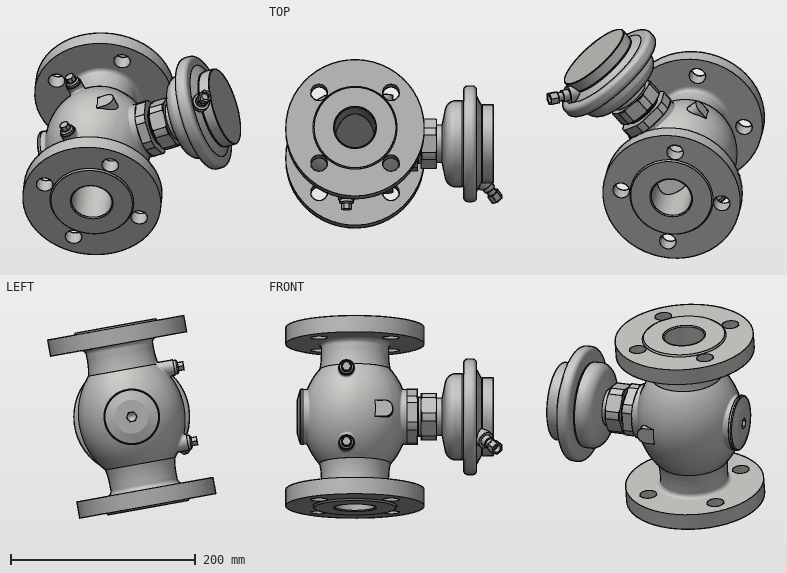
import cadquery as cq
import math

TILT = 10.22

FACE_TO_FACE = 200.0
RAISED_FACE_HEIGHT = 2.0
RAISED_FACE_TOP_RADIUS = 44.2
RAISED_FACE_ROOT_RADIUS = 45.5
FLANGE_RADIUS = 75.0
FLANGE_THICKNESS = 18.0
FLANGE_FILLET = 5.0
BOLT_CIRCLE_RADIUS = 55.0
BOLT_HOLE_DIAMETER = 18.0
BOLT_COUNT = 4
FIRST_BOLT_ANGLE = 45.0
PORT_RADIUS = 22.0
PORT_CHAMFER = 1.2

BARREL_RADIUS = 57.5
BARREL_ARC_RADIUS = 79.0
BARREL_HALF_HEIGHT = 51.6
NECK_RADIUS = 36.5
NECK_STRAIGHT_START = 67.2

PARTITION_HIGH_END = 60.0
PARTITION_LOW_END = 40.0

CROSS_BOSS_RADIUS = 29.7
CROSS_BOSS_FILLET = 1.5
COVER_FACE_X = -62.6
COVER_RIM_X = -59.4
COVER_SEAM_X = -56.0
COVER_FACE_RADIUS = 18.3
COVER_RIM_RADIUS = 29.0
COVER_RADIUS = 30.1
COVER_SOCKET_FLATS = 10.0
COVER_SOCKET_DEPTH = 5.0
COVER_DRILL_POINT_ANGLE = 120.0
BONNET_HEX_START_X = 56.4
BONNET_HEX_END_X = 67.4
BONNET_HEX_FLATS = 56.0
BONNET_HEX_TURN = 30.0
BONNET_HEX_TURNED_RADIUS = 30.0
STUB_RADIUS = 21.2
STUB_GROOVE_RADIUS = 20.0
STUB_GROOVE_END_X = 68.6
BODY_JOINT_X = 71.4

TAPPING_X = -9.2
UPPER_TAPPING_HEIGHT = 44.5
LOWER_TAPPING_HEIGHT = -38.0
TAPPING_START_Y = 30.0
TAPPING_BOSS_RADIUS = 8.5
TAPPING_BOSS_END_Y = 54.5
TAPPING_COLLAR_RADIUS = 7.5
TAPPING_COLLAR_END_Y = 57.5
TAPPING_CONE_TOP_RADIUS = 5.5
TAPPING_CONE_END_Y = 59.0
TAPPING_HEX_FLATS = 9.0
TAPPING_HEX_END_Y = 65.0
UPPER_TAPPING_FILLET = 1.8
LOWER_TAPPING_FILLET = 2.8

ROOT_MARGIN = 0.4

PAD_FLAT_X = 21.7
PAD_WIDTH = 17.8
PAD_ROUND_END_X = 41.0
PAD_FACE_Y = 53.0
PAD_ROOT_Y = 30.0

NUT_END_X = 88.4
NUT_FLATS = 50.5
NUT_TURNED_RADIUS = 27.0
NUT_CHAMFER = 1.0

SPIGOT_RADIUS = 20.4
DOME_START_X = 94.2
DOME_SHOULDER_X = 97.6
DOME_SHOULDER_RADIUS = 37.0
DOME_RADIUS = 46.7
DOME_CROWN_X = 107.3
DOME_LIP_X = 115.8
DOME_LIP_DROP = 0.8
RIM_START_X = 117.4
RIM_END_X = 131.7
RIM_RADIUS = 62.8
RIM_ROUNDING = 5.0
BACK_CONE_RADIUS = 51.4
BACK_CONE_END_X = 136.6
BACK_GROOVE_RADIUS = 42.0
BACK_GROOVE_END_X = 138.0
CAP_RADIUS = 42.4
CAP_END_X = 150.0
CAP_CHAMFER = 0.6

FITTING_ROLL = 30.0
FITTING_LEAN = 57.0
FITTING_TIP_X = 153.8
FITTING_TIP_RADIUS = 69.3
FITTING_NUT_FLATS = 12.0
FITTING_NUT_LENGTH = 9.3
FITTING_HOLE_RADIUS = 4.2
FITTING_HOLE_DEPTH = 6.0
FITTING_STEM_RADIUS = 4.8
FITTING_STEM_LENGTH = 6.0
FITTING_COLLAR_RADIUS = 6.3
FITTING_COLLAR_LENGTH = 7.0
FITTING_BASE_RADIUS = 9.2
FITTING_BASE_LENGTH = 14.0


HEX_SIDES = 6


def hexagon_circumdiameter(flats):
    return flats / math.cos(math.pi / HEX_SIDES)


def rod_x(start_x, end_x, radius):
    """Round bar along X."""
    return cq.Workplane("YZ").workplane(offset=start_x).circle(radius).extrude(end_x - start_x)


def hex_bar_x(start_x, end_x, flats):
    """Hexagonal bar along X with two corners pointing along +Y and -Y."""
    return (
        cq.Workplane("YZ").workplane(offset=start_x)
        .polygon(HEX_SIDES, hexagon_circumdiameter(flats)).extrude(end_x - start_x)
    )


FLANGE_FACE_Z = FACE_TO_FACE / 2 - RAISED_FACE_HEIGHT
FLANGE_BACK_Z = FLANGE_FACE_Z - FLANGE_THICKNESS
BARREL_ARC_CENTRE = BARREL_RADIUS - BARREL_ARC_RADIUS


def barrel_radius_at(z):
    return BARREL_ARC_CENTRE + math.sqrt(BARREL_ARC_RADIUS ** 2 - z ** 2)


def barrel():
    """Barrel turned about Z, reaching from neck to neck."""
    end_radius = barrel_radius_at(BARREL_HALF_HEIGHT)
    return (
        cq.Workplane("XZ")
        .moveTo(0, -BARREL_HALF_HEIGHT)
        .lineTo(-end_radius, -BARREL_HALF_HEIGHT)
        .threePointArc((-BARREL_RADIUS, 0), (-end_radius, BARREL_HALF_HEIGHT))
        .lineTo(0, BARREL_HALF_HEIGHT)
        .close()
        .revolve(360, (0, 0, 0), (0, 1, 0))
    )


def upper_neck_and_flange():
    """Neck and drilled flange above the barrel, turned about Z."""
    neck_start_radius = barrel_radius_at(BARREL_HALF_HEIGHT)
    narrowing = neck_start_radius - NECK_RADIUS
    blend_height = NECK_STRAIGHT_START - BARREL_HALF_HEIGHT
    blend_radius = (narrowing ** 2 + blend_height ** 2) / (2 * narrowing)
    neck = (
        cq.Workplane("XZ")
        .moveTo(0, BARREL_HALF_HEIGHT)
        .lineTo(-neck_start_radius, BARREL_HALF_HEIGHT)
        .radiusArc((-NECK_RADIUS, NECK_STRAIGHT_START), -blend_radius)
        .lineTo(-NECK_RADIUS, FLANGE_BACK_Z - FLANGE_FILLET)
        .radiusArc((-NECK_RADIUS - FLANGE_FILLET, FLANGE_BACK_Z), -FLANGE_FILLET)
        .lineTo(-FLANGE_RADIUS, FLANGE_BACK_Z)
        .lineTo(-FLANGE_RADIUS, FLANGE_FACE_Z)
        .lineTo(-RAISED_FACE_ROOT_RADIUS, FLANGE_FACE_Z)
        .lineTo(-RAISED_FACE_TOP_RADIUS, FACE_TO_FACE / 2)
        .lineTo(0, FACE_TO_FACE / 2)
        .close()
        .revolve(360, (0, 0, 0), (0, 1, 0))
    )
    bolt_holes = (
        cq.Workplane("XY").workplane(offset=FLANGE_BACK_Z)
        .polarArray(BOLT_CIRCLE_RADIUS, FIRST_BOLT_ANGLE, 360, BOLT_COUNT)
        .circle(BOLT_HOLE_DIAMETER / 2).extrude(FLANGE_THICKNESS)
    )
    return neck.cut(bolt_holes)


def upper_port():
    """Bore of the upper port, ending on the inclined partition."""
    bore = (
        cq.Workplane("YZ")
        .moveTo(-PORT_RADIUS, -PARTITION_LOW_END)
        .lineTo(PORT_RADIUS, PARTITION_HIGH_END)
        .lineTo(PORT_RADIUS, FACE_TO_FACE / 2)
        .lineTo(-PORT_RADIUS, FACE_TO_FACE / 2)
        .close()
        .extrude(PORT_RADIUS, both=True)
        .intersect(
            cq.Workplane("XY").workplane(offset=-PARTITION_LOW_END)
            .circle(PORT_RADIUS).extrude(FACE_TO_FACE)
        )
    )
    mouth = (
        cq.Workplane("XY").workplane(offset=FACE_TO_FACE / 2)
        .circle(PORT_RADIUS + PORT_CHAMFER)
        .workplane(offset=-PORT_CHAMFER).circle(PORT_RADIUS).loft()
    )
    return bore.union(mouth)


def turned_over(shape):
    """Half a turn about X, taking the upper end of the valve to the lower end."""
    return shape.rotate((0, 0, 0), (1, 0, 0), 180)


def cross_boss():
    """Boss along X from the cover to the stub, with the bonnet hexagon on it."""
    turned = (
        cq.Workplane("XY")
        .moveTo(COVER_FACE_X, 0)
        .lineTo(COVER_FACE_X, COVER_FACE_RADIUS)
        .lineTo(COVER_RIM_X, COVER_RIM_RADIUS)
        .lineTo(COVER_RIM_X + COVER_RADIUS - COVER_RIM_RADIUS, COVER_RADIUS)
        .lineTo(COVER_SEAM_X, COVER_RADIUS)
        .lineTo(COVER_SEAM_X, CROSS_BOSS_RADIUS)
        .lineTo(BONNET_HEX_START_X, CROSS_BOSS_RADIUS)
        .lineTo(BONNET_HEX_START_X, STUB_GROOVE_RADIUS)
        .lineTo(STUB_GROOVE_END_X, STUB_GROOVE_RADIUS)
        .lineTo(STUB_GROOVE_END_X, STUB_RADIUS)
        .lineTo(BODY_JOINT_X, STUB_RADIUS)
        .lineTo(BODY_JOINT_X, 0)
        .close()
        .revolve(360, (0, 0, 0), (1, 0, 0))
    )
    hexagon = (
        hex_bar_x(BONNET_HEX_START_X, BONNET_HEX_END_X, BONNET_HEX_FLATS)
        .rotate((0, 0, 0), (1, 0, 0), BONNET_HEX_TURN)
        .intersect(rod_x(BONNET_HEX_START_X, BONNET_HEX_END_X, BONNET_HEX_TURNED_RADIUS))
    )
    return turned.union(hexagon)


def cover_socket():
    """Hexagon socket in the cover, ending in a drill point."""
    floor_x = COVER_FACE_X + COVER_SOCKET_DEPTH
    drill_radius = COVER_SOCKET_FLATS / 2
    point_length = drill_radius / math.tan(math.radians(COVER_DRILL_POINT_ANGLE / 2))
    drill_point = (
        cq.Workplane("XY")
        .moveTo(floor_x, 0)
        .lineTo(floor_x, drill_radius)
        .lineTo(floor_x + point_length, 0)
        .close()
        .revolve(360, (0, 0, 0), (1, 0, 0))
    )
    return hex_bar_x(COVER_FACE_X, floor_x, COVER_SOCKET_FLATS).union(drill_point)


def tapping(height):
    """Pressure tapping pointing along -Y: boss, collar, cone and hexagon."""
    turned = (
        cq.Workplane("XY")
        .moveTo(0, -TAPPING_START_Y)
        .lineTo(TAPPING_BOSS_RADIUS, -TAPPING_START_Y)
        .lineTo(TAPPING_BOSS_RADIUS, -TAPPING_BOSS_END_Y)
        .lineTo(TAPPING_COLLAR_RADIUS, -TAPPING_BOSS_END_Y)
        .lineTo(TAPPING_COLLAR_RADIUS, -TAPPING_COLLAR_END_Y)
        .lineTo(TAPPING_CONE_TOP_RADIUS, -TAPPING_CONE_END_Y)
        .lineTo(0, -TAPPING_CONE_END_Y)
        .close()
        .revolve(360, (0, 0, 0), (0, 1, 0))
    )
    hexagon = (
        cq.Workplane("XZ").workplane(offset=TAPPING_COLLAR_END_Y)
        .polygon(HEX_SIDES, hexagon_circumdiameter(TAPPING_HEX_FLATS))
        .extrude(TAPPING_HEX_END_Y - TAPPING_COLLAR_END_Y)
    )
    return turned.union(hexagon).translate((TAPPING_X, 0, height))


def edges_inside(shape, low_corner, high_corner):
    """Edges that lie completely inside a box."""
    return shape.edges(cq.selectors.BoxSelector(low_corner, high_corner, boundingbox=True))


def with_tapping(body, height, root_fillet):
    """Body with one tapping, rounded where its boss meets the barrel."""
    body = body.union(tapping(height))
    reach = TAPPING_BOSS_RADIUS + ROOT_MARGIN
    low_corner = (TAPPING_X - reach, -TAPPING_BOSS_END_Y + ROOT_MARGIN, height - reach)
    high_corner = (TAPPING_X + reach, 0, height + reach)
    return edges_inside(body, low_corner, high_corner).fillet(root_fillet)


def with_cross_boss(body):
    """Body with the cross boss, rounded where the boss meets the barrel on both sides."""
    body = body.union(cross_boss())
    reach = CROSS_BOSS_RADIUS + ROOT_MARGIN
    for near_x, far_x in ((COVER_SEAM_X, 0), (0, BONNET_HEX_START_X)):
        root = edges_inside(body, (near_x + ROOT_MARGIN, -reach, -reach), (far_x - ROOT_MARGIN, reach, reach))
        body = root.fillet(CROSS_BOSS_FILLET)
    return body


def d_pad():
    """D shaped pad on the -Y side, with its round end towards +X."""
    half_width = PAD_WIDTH / 2
    round_centre_x = PAD_ROUND_END_X - half_width
    return (
        cq.Workplane("XZ").workplane(offset=PAD_ROOT_Y)
        .moveTo(PAD_FLAT_X, -half_width)
        .lineTo(round_centre_x, -half_width)
        .threePointArc((PAD_ROUND_END_X, 0), (round_centre_x, half_width))
        .lineTo(PAD_FLAT_X, half_width)
        .close()
        .extrude(PAD_FACE_Y - PAD_ROOT_Y)
    )


def make_valve():
    valve = barrel()
    valve = valve.union(upper_neck_and_flange()).union(turned_over(upper_neck_and_flange()))
    valve = with_tapping(valve, UPPER_TAPPING_HEIGHT, UPPER_TAPPING_FILLET)
    valve = with_tapping(valve, LOWER_TAPPING_HEIGHT, LOWER_TAPPING_FILLET)
    valve = with_cross_boss(valve)
    valve = valve.union(d_pad()).union(turned_over(d_pad()))
    valve = valve.cut(upper_port()).cut(turned_over(upper_port())).cut(cover_socket())
    return valve.rotate((0, 0, 0), (1, 0, 0), -TILT)


def union_nut():
    turned = rod_x(BODY_JOINT_X, NUT_END_X, NUT_TURNED_RADIUS).edges().chamfer(NUT_CHAMFER)
    return hex_bar_x(BODY_JOINT_X, NUT_END_X, NUT_FLATS).intersect(turned)


def diaphragm_case():
    """Spigot, dome, rolled rim, back cone and cap, turned about X."""
    return (
        cq.Workplane("XY")
        .moveTo(NUT_END_X, 0)
        .lineTo(NUT_END_X, SPIGOT_RADIUS)
        .lineTo(DOME_START_X, SPIGOT_RADIUS)
        .lineTo(DOME_SHOULDER_X, DOME_SHOULDER_RADIUS)
        .tangentArcPoint((DOME_CROWN_X, DOME_RADIUS), relative=False)
        .lineTo(DOME_LIP_X, DOME_RADIUS)
        .lineTo(RIM_START_X, DOME_RADIUS - DOME_LIP_DROP)
        .lineTo(RIM_START_X, RIM_RADIUS - RIM_ROUNDING)
        .radiusArc((RIM_START_X + RIM_ROUNDING, RIM_RADIUS), RIM_ROUNDING)
        .lineTo(RIM_END_X - RIM_ROUNDING, RIM_RADIUS)
        .radiusArc((RIM_END_X, RIM_RADIUS - RIM_ROUNDING), RIM_ROUNDING)
        .lineTo(RIM_END_X, BACK_CONE_RADIUS)
        .lineTo(BACK_CONE_END_X, BACK_GROOVE_RADIUS)
        .lineTo(BACK_GROOVE_END_X, BACK_GROOVE_RADIUS)
        .lineTo(BACK_GROOVE_END_X, CAP_RADIUS)
        .lineTo(CAP_END_X - CAP_CHAMFER, CAP_RADIUS)
        .lineTo(CAP_END_X, CAP_RADIUS - CAP_CHAMFER)
        .lineTo(CAP_END_X, 0)
        .close()
        .revolve(360, (0, 0, 0), (1, 0, 0))
    )


def impulse_fitting():
    """Pipe fitting growing out of the back cone, made from its tip inwards."""
    lean = math.radians(FITTING_LEAN)
    roll = math.radians(FITTING_ROLL)
    outward = cq.Vector(0, -math.cos(roll), -math.sin(roll))
    tip = outward * FITTING_TIP_RADIUS + cq.Vector(FITTING_TIP_X, 0, 0)
    inward = outward * -math.sin(lean) + cq.Vector(-math.cos(lean), 0, 0)
    sideways = cq.Vector(1, 0, 0).cross(outward)

    def at_depth(depth):
        return cq.Workplane(cq.Plane(tip + inward * depth, sideways, inward))

    stem_depth = FITTING_NUT_LENGTH
    collar_depth = stem_depth + FITTING_STEM_LENGTH
    base_depth = collar_depth + FITTING_COLLAR_LENGTH
    nut = (
        at_depth(0).polygon(HEX_SIDES, hexagon_circumdiameter(FITTING_NUT_FLATS))
        .extrude(FITTING_NUT_LENGTH)
    )
    nut = nut.cut(at_depth(0).circle(FITTING_HOLE_RADIUS).extrude(FITTING_HOLE_DEPTH))
    stem = at_depth(stem_depth).circle(FITTING_STEM_RADIUS).extrude(FITTING_STEM_LENGTH)
    collar = at_depth(collar_depth).circle(FITTING_COLLAR_RADIUS).extrude(FITTING_COLLAR_LENGTH)
    base = at_depth(base_depth).circle(FITTING_BASE_RADIUS).extrude(FITTING_BASE_LENGTH)
    return nut.union(stem).union(collar).union(base)


def make_actuator():
    return union_nut().union(diaphragm_case()).union(impulse_fitting())


valve = make_valve()
actuator = make_actuator()
result = cq.Compound.makeCompound([valve.val(), actuator.val()])